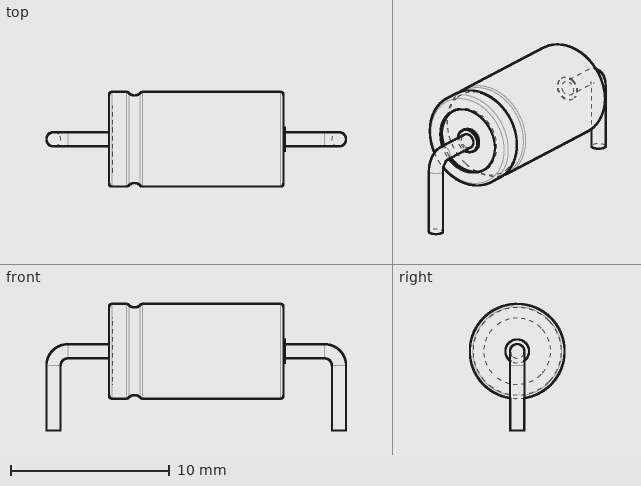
import cadquery as cq
import math

overall_length = 18.9
body_length = 11.0
body_diameter = 6.0
wire_diameter = 0.9
wire_drop = 5.0
bend_radius = 0.9

end_fillet = 0.19
groove_offset = 1.6
groove_width = 1.02
shoulder_width = 0.15
shoulder_drop = 0.08
groove_depth = 0.23

recess_diameter = 4.2
recess_depth = 0.2
boss_diameter = 1.5
end_boss_height = 0.1

body_radius = body_diameter / 2
body_end = body_length / 2
lead_x = (overall_length - wire_diameter) / 2


def make_can():
    """Revolve the can profile, with a smooth groove between rounded shoulders."""
    groove_x = -body_end + groove_offset
    half_width = groove_width / 2
    inner_half_width = half_width - shoulder_width
    shoulder_radius = body_radius - shoulder_drop
    shoulder_rounding = (shoulder_width**2 + shoulder_drop**2) / (2 * shoulder_drop)
    profile = (
        cq.Workplane("XY")
        .moveTo(-body_end, 0)
        .lineTo(-body_end, body_radius)
        .lineTo(groove_x - half_width, body_radius)
        .radiusArc((groove_x - inner_half_width, shoulder_radius), shoulder_rounding)
        .threePointArc(
            (groove_x, body_radius - groove_depth),
            (groove_x + inner_half_width, shoulder_radius),
        )
        .radiusArc((groove_x + half_width, body_radius), shoulder_rounding)
        .lineTo(body_end, body_radius)
        .lineTo(body_end, 0)
        .close()
    )
    can = profile.revolve(360, (0, 0, 0), (1, 0, 0))
    return can.faces("<X or >X").edges().fillet(end_fillet)


def disc(start_x, length, diameter):
    """Cylinder on the part axis, extending from start_x toward +X."""
    return cq.Workplane("YZ").workplane(offset=start_x).circle(diameter / 2).extrude(length)


def make_lead():
    """Wire that leaves the +X end, bends a quarter turn and drops down."""
    root_x = body_end - recess_depth
    bend_start_x = lead_x - bend_radius
    arc_offset = bend_radius * math.sqrt(0.5)
    path = (
        cq.Workplane("XZ")
        .moveTo(root_x, 0)
        .lineTo(bend_start_x, 0)
        .threePointArc(
            (bend_start_x + arc_offset, arc_offset - bend_radius),
            (lead_x, -bend_radius),
        )
        .lineTo(lead_x, -wire_drop)
    )
    section = cq.Workplane("YZ").workplane(offset=root_x).circle(wire_diameter / 2)
    return section.sweep(path)


recess = disc(-body_end, recess_depth, recess_diameter)
seal_boss = disc(-body_end, recess_depth, boss_diameter)
end_boss = disc(body_end, end_boss_height, boss_diameter)

right_lead = make_lead()
left_lead = right_lead.mirror("YZ")

result = make_can().cut(recess).union(seal_boss).union(end_boss).union(right_lead).union(left_lead)